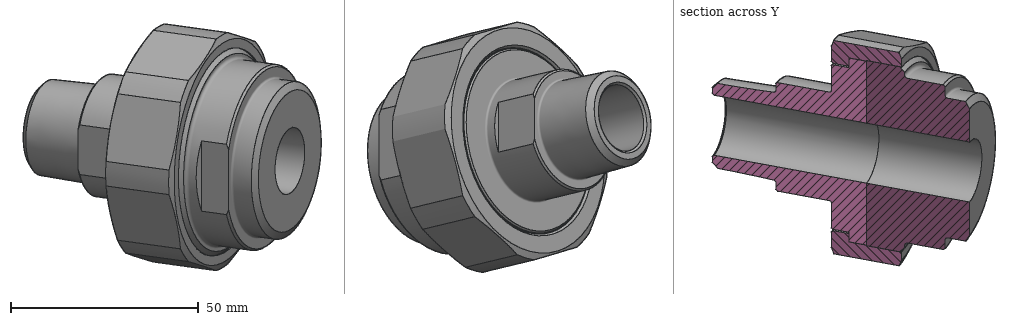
import cadquery as cq
import math

overall_length = 73.5
bore_diameter = 18.0

spigot_tip_radius = 12.9
spigot_root_radius = 13.4
spigot_chamfer = 1.6
bore_chamfer = 0.6
shank_start = 18.1
shank_radius = 33.0 / 2
edge_chamfer = 0.5
root_fillet = 0.5
shank_flat_end = 31.0
shank_across_flats = 30.0
flange_radius = 50.0 / 2
flange_chamfer = 0.45

nut_start = 33.95
nut_end = 54.1
nut_across_flats = 62.0
nut_corner_diameter = 64.7
nut_sides = 8
nut_chamfer_length = 0.7
nut_face_radius = 30.5
lip_bore_radius = 50.5 / 2
lip_bore_chamfer = 0.6
lip_end = 38.95
joint_radius = 55.85 / 2

joint_face = 44.1
collar_end = 55.0
collar_chamfer = 1.3
body_radius = 50.0 / 2
body_fillet = 0.9
body_end = 66.6
body_chamfer_length = 0.65
end_spigot_radius = 42.4 / 2
end_fillet = 0.6
end_chamfer_length = 1.1
end_chamfer_depth = 2.05
body_flat_start = 58.6
body_flat_lean = 0.65
body_across_flats = 46.0


def revolve(profile):
    """Turn a closed (x, radius) profile around the X axis."""
    return profile.close().revolve(360, (0, 0, 0), (1, 0, 0))


def arc_offset(fillet_radius):
    """Distance, along X and radially, from a fillet's inner corner to the middle of its arc."""
    return fillet_radius * (1 - math.sqrt(0.5))


def make_insert():
    bore_radius = bore_diameter / 2
    blend = arc_offset(root_fillet)
    spigot_end = shank_start - root_fillet
    flange_face = nut_start
    shank_end = flange_face - root_fillet
    profile = (
        cq.Workplane("XY")
        .moveTo(bore_chamfer, bore_radius)
        .lineTo(0, bore_radius + bore_chamfer)
        .lineTo(0, spigot_tip_radius - spigot_chamfer)
        .lineTo(spigot_chamfer, spigot_tip_radius)
        .lineTo(spigot_end, spigot_root_radius)
        .threePointArc(
            (shank_start - blend, spigot_root_radius + blend),
            (shank_start, spigot_root_radius + root_fillet),
        )
        .lineTo(shank_start, shank_radius - edge_chamfer)
        .lineTo(shank_start + edge_chamfer, shank_radius)
        .lineTo(shank_end, shank_radius)
        .threePointArc(
            (flange_face - blend, shank_radius + blend),
            (flange_face, shank_radius + root_fillet),
        )
        .lineTo(flange_face, flange_radius - flange_chamfer)
        .lineTo(flange_face + flange_chamfer, flange_radius)
        .lineTo(lip_end, flange_radius)
        .lineTo(lip_end, joint_radius)
        .lineTo(joint_face, joint_radius)
        .lineTo(joint_face, bore_radius)
    )
    insert = revolve(profile)

    flat_length = shank_flat_end - shank_start
    for side in (-1, 1):
        cutter = cq.Workplane("XY").box(flat_length, shank_radius, 2 * shank_radius).translate(
            (shank_start + flat_length / 2, side * (shank_across_flats + shank_radius) / 2, 0)
        )
        insert = insert.cut(cutter)
    return insert


def make_nut():
    corner_radius = nut_corner_diameter / 2
    chamfered_blank = revolve(
        cq.Workplane("XY")
        .moveTo(nut_start, lip_bore_radius + lip_bore_chamfer)
        .lineTo(nut_start, nut_face_radius)
        .lineTo(nut_start + nut_chamfer_length, corner_radius)
        .lineTo(nut_end - nut_chamfer_length, corner_radius)
        .lineTo(nut_end, nut_face_radius)
        .lineTo(nut_end, joint_radius)
        .lineTo(lip_end, joint_radius)
        .lineTo(lip_end, lip_bore_radius)
        .lineTo(nut_start + lip_bore_chamfer, lip_bore_radius)
    )
    octagon = (
        cq.Workplane("YZ", origin=(nut_start, 0, 0))
        .polygon(nut_sides, nut_across_flats / math.cos(math.pi / nut_sides))
        .extrude(nut_end - nut_start)
    )
    return chamfered_blank.intersect(octagon)


def make_housing():
    bore_radius = bore_diameter / 2
    body_blend = arc_offset(body_fillet)
    end_blend = arc_offset(end_fillet)
    profile = (
        cq.Workplane("XY")
        .moveTo(joint_face, bore_radius)
        .lineTo(joint_face, joint_radius)
        .lineTo(collar_end - collar_chamfer, joint_radius)
        .lineTo(collar_end, joint_radius - collar_chamfer)
        .lineTo(collar_end, body_radius + body_fillet)
        .threePointArc(
            (collar_end + body_blend, body_radius + body_blend),
            (collar_end + body_fillet, body_radius),
        )
        .lineTo(body_end - body_chamfer_length, body_radius)
        .lineTo(body_end, body_radius - edge_chamfer)
        .lineTo(body_end, end_spigot_radius + end_fillet)
        .threePointArc(
            (body_end + end_blend, end_spigot_radius + end_blend),
            (body_end + end_fillet, end_spigot_radius),
        )
        .lineTo(overall_length - end_chamfer_length, end_spigot_radius)
        .lineTo(overall_length, end_spigot_radius - end_chamfer_depth)
        .lineTo(overall_length, bore_radius)
    )
    housing = revolve(profile)

    flat_y = body_across_flats / 2
    flat_cutter = (
        cq.Workplane("XY")
        .moveTo(body_flat_start, flat_y)
        .lineTo(body_flat_start - body_flat_lean, body_radius)
        .lineTo(body_end, body_radius)
        .lineTo(body_end, flat_y)
        .close()
        .extrude(body_radius, both=True)
    )
    return housing.cut(flat_cutter).cut(flat_cutter.mirror("XZ"))


insert = make_insert()
nut = make_nut()
housing = make_housing()

result = cq.Compound.makeCompound([insert.val(), nut.val(), housing.val()])